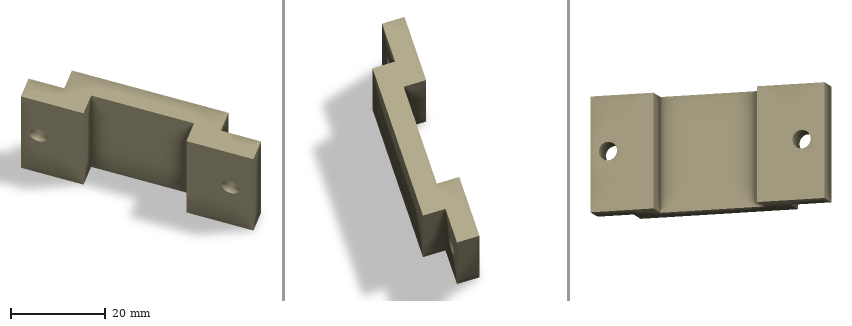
import cadquery as cq

length = 52.0
height = 25.0
plate_thickness = 5.0
depth = 2 * plate_thickness

left_foot_width = 14.0
channel_width = 23.0

bridge_left = 8.0
bridge_width = 35.0

hole_diameter = 4.0
hole_spacing = 43.0
left_hole_x = 3.9
hole_z = 13.0


def make_body():
    """Full block with the channel and the two rear corner steps removed."""
    channel_right = left_foot_width + channel_width
    bridge_right = bridge_left + bridge_width
    profile = [
        (0, 0),
        (left_foot_width, 0),
        (left_foot_width, plate_thickness),
        (channel_right, plate_thickness),
        (channel_right, 0),
        (length, 0),
        (length, plate_thickness),
        (bridge_right, plate_thickness),
        (bridge_right, depth),
        (bridge_left, depth),
        (bridge_left, plate_thickness),
        (0, plate_thickness),
    ]
    return cq.Workplane("XY").polyline(profile).close().extrude(height)


def make_hole_cutter(x):
    """Cylinder along Y that passes through one flange."""
    return (
        cq.Workplane("XZ", origin=(x, 0, hole_z))
        .circle(hole_diameter / 2)
        .extrude(-plate_thickness)
    )


result = make_body()
for hole_x in (left_hole_x, left_hole_x + hole_spacing):
    result = result.cut(make_hole_cutter(hole_x))